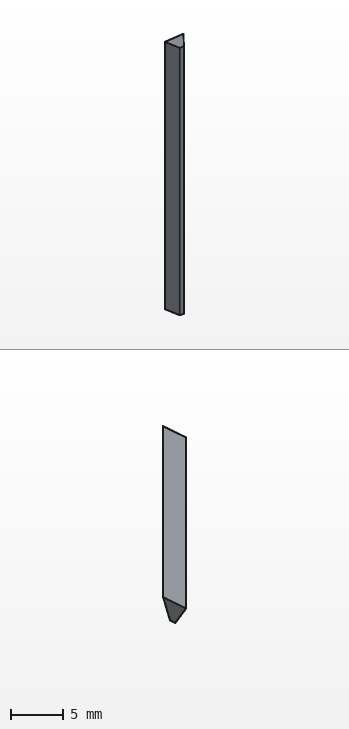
import cadquery as cq

length = 28.3
width = 2.0
depth = 2.6
short_side = depth - width

left, right = -width / 2, width / 2
front, back = -depth / 2, depth / 2
profile = [
    (left, front),
    (right, front),
    (right, front + short_side),
    (left, back),
]

result = (
    cq.Workplane("XY")
    .workplane(offset=-length / 2)
    .polyline(profile)
    .close()
    .extrude(length)
)